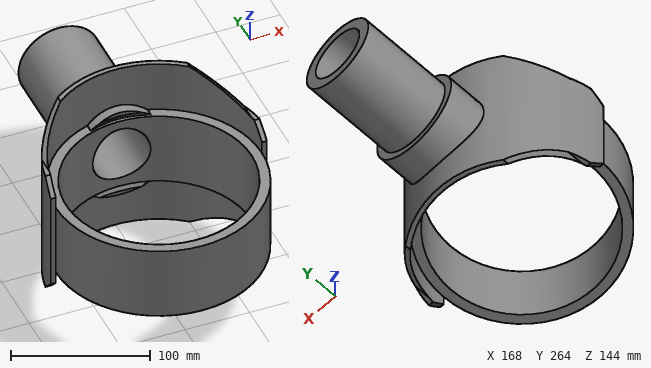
import cadquery as cq
import math

ring_outer_radius = 80.0
ring_wall = 8.0
ring_inner_radius = ring_outer_radius - ring_wall
ring_height = 60.0

saddle_wall = 4.0
saddle_outer_radius = ring_outer_radius + saddle_wall
saddle_height = 144.0
saddle_top_half_width = 50.2
shoulder_half_width = 78.5
shoulder_half_height = 51.5
end_chamfer = 12.0

overall_length = 264.0
pipe_end = overall_length - ring_outer_radius
pipe_radius = 31.7
pipe_bore_radius = 22.5
socket_radius = 38.0
socket_front = 70.2
socket_back = 107.5
socket_cone_half_angle = 60.0


def cylinder_along_y(radius, start, end):
    """Solid cylinder on the Y axis between two Y positions."""
    return cq.Workplane("XZ", origin=(0, start, 0)).circle(radius).extrude(start - end)


def vertical_cylinder(radius, height):
    """Solid cylinder on the Z axis, centred on the origin."""
    return cq.Workplane("XY", origin=(0, 0, -height / 2)).circle(radius).extrude(height)


def make_saddle():
    """Half tube with sloping shoulders and chamfered end corners."""
    half_height = saddle_height / 2
    tube = vertical_cylinder(saddle_outer_radius, saddle_height)
    tube = tube.cut(vertical_cylinder(ring_outer_radius, saddle_height))

    upper_right = [
        (saddle_outer_radius, shoulder_half_height),
        (shoulder_half_width, shoulder_half_height),
        (saddle_top_half_width, half_height),
    ]
    upper_left = [(-x, z) for x, z in reversed(upper_right)]
    upper = upper_right + upper_left
    lower = [(x, -z) for x, z in reversed(upper)]
    shoulders = cq.Workplane("XZ").polyline(upper + lower).close().extrude(-saddle_outer_radius)

    end_half_height = shoulder_half_height - end_chamfer
    chamfer_run = half_height - end_half_height
    ends = (
        cq.Workplane("YZ")
        .moveTo(0, -end_half_height)
        .lineTo(chamfer_run, -half_height)
        .lineTo(saddle_outer_radius, -half_height)
        .lineTo(saddle_outer_radius, half_height)
        .lineTo(chamfer_run, half_height)
        .lineTo(0, end_half_height)
        .close()
        .extrude(saddle_outer_radius, both=True)
    )
    return tube.intersect(shoulders).intersect(ends)


def make_socket_and_pipe():
    """Stepped round handle with a conical recess in its inner end."""
    socket = cylinder_along_y(socket_radius, socket_front, socket_back)
    pipe = cylinder_along_y(pipe_radius, socket_front, pipe_end)
    cone_depth = socket_radius / math.tan(math.radians(socket_cone_half_angle))
    recess = cq.Solid.makeCone(
        socket_radius, 0, cone_depth, pnt=cq.Vector(0, socket_front, 0), dir=cq.Vector(0, 1, 0)
    )
    return socket.union(pipe).cut(cq.Workplane(recess))


ring = vertical_cylinder(ring_outer_radius, ring_height)

ring_opening = vertical_cylinder(ring_inner_radius, saddle_height)
pipe_bore = cylinder_along_y(pipe_bore_radius, 0, pipe_end)

result = make_saddle().union(ring).union(make_socket_and_pipe()).cut(ring_opening).cut(pipe_bore)